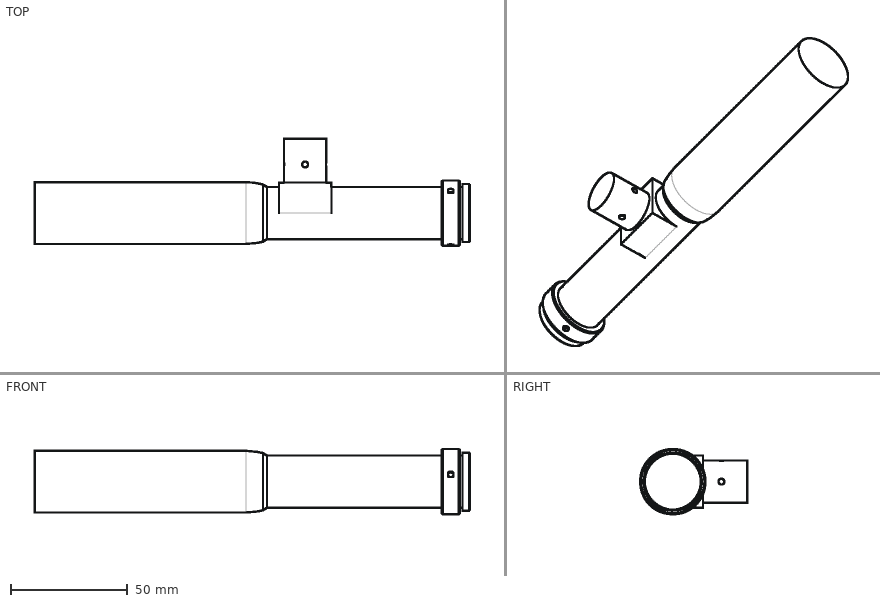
import cadquery as cq
import math

total_length = 186.2
body_radius = 13.25
tube_radius = 11.2
shoulder_start = 90.4
shoulder_end = 97.6
shoulder_end_radius = 12.3
tube_start = 99.4

collar_radius = 14.0
collar_start = 174.1
collar_end = 181.85
collar_chamfer = 0.5
cap_radius = 12.45
cap_start = 183.0
cap_chamfer = 0.5

port_x = 115.7
block_size = 2 * tube_radius
block_top = 13.0
port_radius = 9.1
port_end = 31.9

hole_diameter = 2.5
hole_depth = 2.0
drill_point_angle = 118.0
hole_tip_depth = hole_diameter / 2 / math.tan(math.radians(drill_point_angle / 2))
collar_hole_count = 3
collar_hole_first_angle = 47.0
port_hole_count = 4
port_hole_y = 20.8


def make_barrel():
    """Revolved barrel: body, rounded shoulder, short cone, then the slim tube."""
    drop = body_radius - shoulder_end_radius
    run = shoulder_end - shoulder_start
    arc_radius = (run**2 + drop**2) / (2 * drop)
    half_angle = math.asin(run / arc_radius) / 2
    arc_middle = (
        shoulder_start + arc_radius * math.sin(half_angle),
        body_radius - arc_radius * (1 - math.cos(half_angle)),
    )
    return (
        cq.Workplane("XY")
        .lineTo(0, body_radius)
        .lineTo(shoulder_start, body_radius)
        .threePointArc(arc_middle, (shoulder_end, shoulder_end_radius))
        .lineTo(tube_start, tube_radius)
        .lineTo(total_length, tube_radius)
        .lineTo(total_length, 0)
        .close()
        .revolve(360, (0, 0, 0), (1, 0, 0))
    )


def make_disc(start, end, radius):
    """Plain disc on the barrel axis."""
    return cq.Workplane("YZ").workplane(offset=start).circle(radius).extrude(end - start)


def make_collar():
    """Collar with both rims chamfered."""
    return make_disc(collar_start, collar_end, collar_radius).edges().chamfer(collar_chamfer)


def make_cap():
    """End cap with its outer rim chamfered."""
    return make_disc(cap_start, total_length, cap_radius).edges(">X").chamfer(cap_chamfer)


def make_side_port():
    """Square block on the tube, carrying a round port."""
    block = cq.Workplane("XY").box(block_size, block_top, block_size, centered=(True, False, True))
    port = cq.Workplane("XZ").circle(port_radius).extrude(-port_end)
    return block.union(port).translate((port_x, 0, 0))


def make_radial_hole(center, direction, surface_radius):
    """Cutter for a hole with a drill-point bottom, entering radially from the surface."""
    outward = cq.Vector(*direction)
    floor = cq.Vector(*center) + outward * (surface_radius - hole_depth)
    bore = cq.Solid.makeCylinder(hole_diameter / 2, 2 * hole_depth, floor, outward)
    tip = cq.Solid.makeCone(hole_diameter / 2, 0, hole_tip_depth, floor, -outward)
    return bore.fuse(tip)


def cut_collar_holes(part):
    """Evenly spaced holes around the collar, angles measured from +Y toward +Z."""
    hole_x = (collar_start + collar_end) / 2
    for index in range(collar_hole_count):
        angle = math.radians(collar_hole_first_angle + index * 360 / collar_hole_count)
        direction = (0, math.cos(angle), math.sin(angle))
        part = part.cut(make_radial_hole((hole_x, 0, 0), direction, collar_radius))
    return part


def cut_port_holes(part):
    """Evenly spaced holes around the port, angles measured from +X toward +Z."""
    for index in range(port_hole_count):
        angle = math.radians(index * 360 / port_hole_count)
        direction = (math.cos(angle), 0, math.sin(angle))
        part = part.cut(make_radial_hole((port_x, port_hole_y, 0), direction, port_radius))
    return part


barrel = make_barrel().union(make_collar()).union(make_cap())
result = cut_port_holes(cut_collar_holes(barrel.union(make_side_port())))